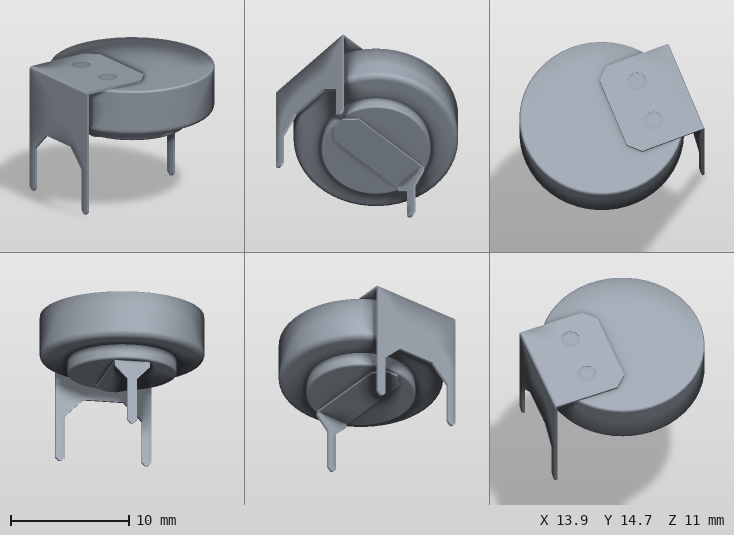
import cadquery as cq

can_diameter = 13.9
can_height = 4.0
can_top_fillet = 0.19
can_bottom_fillet = 0.5
neck_diameter = 9.21
neck_height = 1.25
neck_fillet = 0.18
can_top_z = neck_height + can_height

sheet = 0.2
bend_outer_radius = sheet
leg_width = 0.8
leg_tip_chamfer = 0.3
overall_height = 11.0
leg_bottom_z = can_top_z + sheet - overall_height
corner_chamfer = 1.0

overall_length = 14.65
upper_width = 8.26
upper_front_y = can_diameter / 2 - overall_length
upper_back_y = -1.05
notch_chamfer = 1.58
notch_depth = 5.51
notch_top_z = can_top_z + sheet - notch_depth
notch_shoulder_z = notch_top_z - notch_chamfer
weld_diameter = 1.6
weld_depth = 0.05
weld_spacing = 3.81
weld_y = -3.94

lower_width = 3.02
lower_front_y = -4.38
lower_back_y = 4.16
lower_inner_radius = 0.1
lower_taper = (lower_width - leg_width) / 2


def make_housing():
    can = (
        cq.Workplane("XY")
        .workplane(offset=neck_height)
        .circle(can_diameter / 2)
        .extrude(can_height)
        .faces(">Z").edges().fillet(can_top_fillet)
        .faces("<Z").edges().fillet(can_bottom_fillet)
    )
    neck = (
        cq.Workplane("XY")
        .circle(neck_diameter / 2)
        .extrude(neck_height)
        .faces("<Z").edges().fillet(neck_fillet)
    )
    return can.union(neck)


def box_between(width, y_range, z_range):
    """Box centred on X = 0 that fills the given Y and Z ranges."""
    return (
        cq.Workplane("XY")
        .box(width, y_range[1] - y_range[0], z_range[1] - z_range[0], centered=(True, False, False))
        .translate((0, y_range[0], z_range[0]))
    )


def chamfer_leg_tips(terminal):
    return terminal.faces("<Z").edges("|Y").chamfer(leg_tip_chamfer)


def make_upper_terminal():
    top_z = can_top_z + sheet
    plate = (
        box_between(upper_width, (upper_front_y, upper_back_y), (can_top_z, top_z))
        .edges("|Z and >Y").chamfer(corner_chamfer)
    )
    wall = box_between(upper_width, (upper_front_y, upper_front_y + sheet), (leg_bottom_z, top_z))

    half_gap = upper_width / 2 - leg_width
    notch = (
        cq.Workplane("XZ", origin=(0, upper_front_y, 0))
        .moveTo(-half_gap, leg_bottom_z)
        .lineTo(-half_gap, notch_shoulder_z)
        .lineTo(-half_gap + notch_chamfer, notch_top_z)
        .lineTo(half_gap - notch_chamfer, notch_top_z)
        .lineTo(half_gap, notch_shoulder_z)
        .lineTo(half_gap, leg_bottom_z)
        .close()
        .extrude(-sheet)
    )
    terminal = plate.union(chamfer_leg_tips(wall.cut(notch)))
    terminal = terminal.edges("|X and >Z and <Y").fillet(bend_outer_radius)

    weld_marks = (
        cq.Workplane("XY", origin=(0, weld_y, top_z))
        .pushPoints([(-weld_spacing / 2, 0), (weld_spacing / 2, 0)])
        .circle(weld_diameter / 2)
        .extrude(-weld_depth)
    )
    return terminal.cut(weld_marks)


def make_lower_terminal():
    strip = (
        box_between(lower_width, (lower_front_y, lower_back_y), (-sheet, 0))
        .edges("|Z and <Y").chamfer(corner_chamfer)
    )

    half_leg = leg_width / 2
    half_strip = lower_width / 2
    leg = (
        cq.Workplane("XZ", origin=(0, lower_back_y, 0))
        .moveTo(-half_strip, 0)
        .lineTo(half_strip, 0)
        .lineTo(half_strip, notch_shoulder_z + lower_taper)
        .lineTo(half_leg, notch_shoulder_z)
        .lineTo(half_leg, leg_bottom_z)
        .lineTo(-half_leg, leg_bottom_z)
        .lineTo(-half_leg, notch_shoulder_z)
        .lineTo(-half_strip, notch_shoulder_z + lower_taper)
        .close()
        .extrude(sheet)
    )
    terminal = strip.union(chamfer_leg_tips(leg))
    inner_bend = cq.selectors.NearestToPointSelector((0, lower_back_y - sheet, -sheet))
    return (
        terminal
        .edges(inner_bend).fillet(lower_inner_radius)
        .edges("|X and >Z and >Y").fillet(bend_outer_radius)
    )


housing = make_housing()
upper_terminal = make_upper_terminal()
lower_terminal = make_lower_terminal()

result = cq.Compound.makeCompound([housing.val(), upper_terminal.val(), lower_terminal.val()])